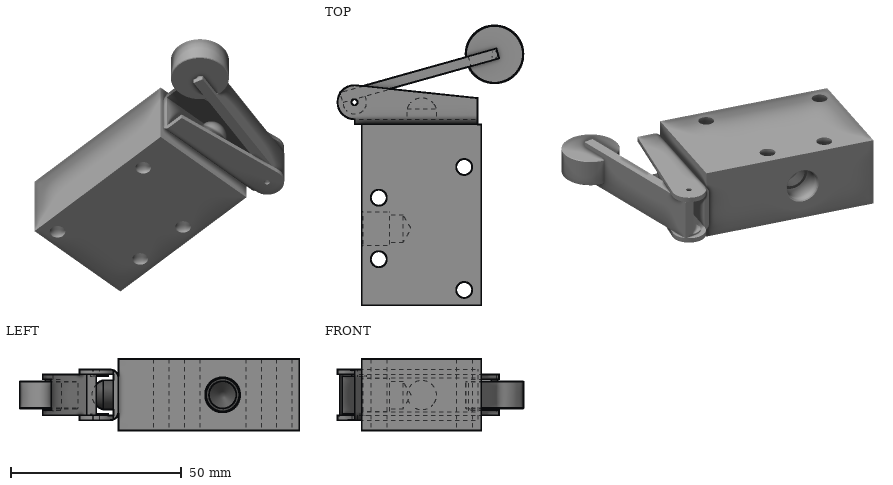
import cadquery as cq
import math

BLOCK_WIDTH = 35.0
BLOCK_LENGTH = 53.0
BLOCK_HEIGHT = 21.0

MOUNT_DIAMETER = 4.6
MOUNT_X_INSET = 5.0
MOUNT_Y_CENTRE = 22.5
LEFT_MOUNT_PITCH = 18.0
RIGHT_MOUNT_PITCH = 36.0

PORT_Y = MOUNT_Y_CENTRE
PORT_DIAMETER = 9.7
PORT_MOUTH_DIAMETER = 10.3
PORT_CHAMFER = (PORT_MOUTH_DIAMETER - PORT_DIAMETER) / 2
PORT_DEPTH = 8.0
DRILL_DIAMETER = 8.0
DRILL_DEPTH = 12.0
DRILL_TIP_ANGLE = 118.0

BRACKET_SHEET = 1.45
BRACKET_INNER_WIDTH = 12.0
BRACKET_OUTER_WIDTH = BRACKET_INNER_WIDTH + 2 * BRACKET_SHEET
BEND_RADIUS = 2.5
BRACKET_LENGTH = 36.0
BRACKET_END_HEIGHT = 7.7
EYE_RADIUS = 5.0
PIVOT_X = -2.1
PIVOT_Y = BLOCK_LENGTH + BRACKET_SHEET + EYE_RADIUS
PIVOT_HOLE_DIAMETER = 1.7

PLUNGER_DIAMETER = 8.6
PLUNGER_STRAIGHT_HEIGHT = 4.5
PLUNGER_DOME_HEIGHT = 3.3

LEVER_ANGLE = 15.65
LEVER_WIDTH = BRACKET_INNER_WIDTH
LEVER_THICKNESS = 3.0
LEVER_OFFSET = 0.95
LEVER_TAIL = 3.4
EAR_THICKNESS = 0.5
AXLE_RADIUS = 1.0
AXLE_TO_TIP = 1.0
AXLE_REACH = 43.23
FORK_GAP = 9.0
FORK_DEPTH = 8.6

ROLLER_DIAMETER = 17.0
ROLLER_WIDTH = 8.0
ROLLER_CHAMFER = 0.2


def cylinder_z(x, y, radius, height):
    """Upright cylinder centred on the mid plane."""
    return cq.Workplane("XY").center(x, y).circle(radius).extrude(height / 2, both=True)


def make_block():
    """Rectangular block with four mounting holes and the outlet port."""
    block = cq.Workplane("XY").box(
        BLOCK_WIDTH, BLOCK_LENGTH, BLOCK_HEIGHT, centered=(False, False, True)
    )
    for x, pitch in (
        (MOUNT_X_INSET, LEFT_MOUNT_PITCH),
        (BLOCK_WIDTH - MOUNT_X_INSET, RIGHT_MOUNT_PITCH),
    ):
        for side in (-1, 1):
            y = MOUNT_Y_CENTRE + side * pitch / 2
            block = block.cut(cylinder_z(x, y, MOUNT_DIAMETER / 2, BLOCK_HEIGHT))
    return block.cut(make_port())


def make_port():
    """Stepped port with a chamfered mouth and a conical drill tip, turned about the X direction."""
    drill_radius = DRILL_DIAMETER / 2
    tip_depth = DRILL_DEPTH + drill_radius / math.tan(math.radians(DRILL_TIP_ANGLE / 2))
    profile = (
        cq.Workplane("XY")
        .moveTo(0, PORT_Y)
        .lineTo(0, PORT_Y + PORT_MOUTH_DIAMETER / 2)
        .lineTo(PORT_CHAMFER, PORT_Y + PORT_DIAMETER / 2)
        .lineTo(PORT_DEPTH, PORT_Y + PORT_DIAMETER / 2)
        .lineTo(PORT_DEPTH, PORT_Y + drill_radius)
        .lineTo(DRILL_DEPTH, PORT_Y + drill_radius)
        .lineTo(tip_depth, PORT_Y)
        .close()
    )
    return profile.revolve(360, (0, PORT_Y, 0), (1, PORT_Y, 0))


def make_bracket():
    """U channel along X with rounded outer corners, trimmed to the outline of its cheeks."""
    cheek_height = PIVOT_Y + EYE_RADIUS - BLOCK_LENGTH
    channel_length = BRACKET_LENGTH + EYE_RADIUS
    channel_start = PIVOT_X - EYE_RADIUS
    outside = (
        cq.Workplane("XY")
        .box(channel_length, cheek_height, BRACKET_OUTER_WIDTH, centered=(False, False, True))
        .edges("|X and <Y")
        .fillet(BEND_RADIUS)
        .translate((channel_start, BLOCK_LENGTH, 0))
    )
    inside = (
        cq.Workplane("XY")
        .box(channel_length, cheek_height, BRACKET_INNER_WIDTH, centered=(False, False, True))
        .translate((channel_start, BLOCK_LENGTH + BRACKET_SHEET, 0))
    )
    channel = outside.cut(inside)

    end_x = PIVOT_X + BRACKET_LENGTH
    end_y = BLOCK_LENGTH + BRACKET_END_HEIGHT
    end_rise = end_y - PIVOT_Y
    end_distance = math.hypot(BRACKET_LENGTH, end_rise)
    tangent_angle = math.atan2(end_rise, BRACKET_LENGTH) + math.acos(EYE_RADIUS / end_distance)
    outline = (
        cq.Workplane("XY")
        .moveTo(PIVOT_X, BLOCK_LENGTH)
        .lineTo(end_x, BLOCK_LENGTH)
        .lineTo(end_x, end_y)
        .lineTo(
            PIVOT_X + EYE_RADIUS * math.cos(tangent_angle),
            PIVOT_Y + EYE_RADIUS * math.sin(tangent_angle),
        )
        .threePointArc((PIVOT_X - EYE_RADIUS, PIVOT_Y), (PIVOT_X, PIVOT_Y - EYE_RADIUS))
        .close()
        .extrude(BRACKET_OUTER_WIDTH / 2, both=True)
    )
    pivot_hole = cylinder_z(PIVOT_X, PIVOT_Y, PIVOT_HOLE_DIAMETER / 2, BRACKET_OUTER_WIDTH)
    return channel.intersect(outline).cut(pivot_hole)


def make_plunger():
    """Round plunger with a domed top, turned about the Y direction."""
    axis_x = BLOCK_WIDTH / 2
    radius = PLUNGER_DIAMETER / 2
    shoulder_y = BLOCK_LENGTH + PLUNGER_STRAIGHT_HEIGHT
    top_y = shoulder_y + PLUNGER_DOME_HEIGHT
    dome_radius = (radius**2 + PLUNGER_DOME_HEIGHT**2) / (2 * PLUNGER_DOME_HEIGHT)
    half_angle = math.asin(radius / dome_radius) / 2
    dome_mid = (
        axis_x + dome_radius * math.sin(half_angle),
        top_y - dome_radius * (1 - math.cos(half_angle)),
    )
    return (
        cq.Workplane("XY")
        .moveTo(axis_x, BLOCK_LENGTH)
        .lineTo(axis_x + radius, BLOCK_LENGTH)
        .lineTo(axis_x + radius, shoulder_y)
        .threePointArc(dome_mid, (axis_x, top_y))
        .close()
        .revolve(360, (axis_x, 0, 0), (axis_x, 1, 0))
    )


def make_ears():
    """Thin round-ended ears that join the lever to the pivot, one inside each cheek."""
    outline = (
        cq.Workplane("XY")
        .moveTo(-LEVER_TAIL, LEVER_OFFSET)
        .lineTo(-LEVER_TAIL, 0)
        .threePointArc((0, -LEVER_TAIL), (LEVER_TAIL, 0))
        .lineTo(LEVER_TAIL, LEVER_OFFSET)
        .close()
        .extrude(LEVER_WIDTH / 2, both=True)
    )
    gap = cq.Workplane("XY").box(
        2 * LEVER_TAIL, 2 * LEVER_TAIL, LEVER_WIDTH - 2 * EAR_THICKNESS
    ).translate((0, LEVER_OFFSET - LEVER_TAIL, 0))
    pivot_hole = cylinder_z(0, 0, PIVOT_HOLE_DIAMETER / 2, LEVER_WIDTH)
    return outline.cut(gap).cut(pivot_hole)


def make_lever():
    """Forked lever with its ears, axle and roller, tilted about the pivot."""
    tip = AXLE_REACH + AXLE_TO_TIP
    axle_height = LEVER_OFFSET + LEVER_THICKNESS / 2
    plate = (
        cq.Workplane("XY")
        .box(LEVER_TAIL + tip, LEVER_THICKNESS, LEVER_WIDTH, centered=(False, False, True))
        .translate((-LEVER_TAIL, LEVER_OFFSET, 0))
    )
    fork_slot = (
        cq.Workplane("XY")
        .box(FORK_DEPTH, LEVER_THICKNESS, FORK_GAP, centered=(False, False, True))
        .translate((tip - FORK_DEPTH, LEVER_OFFSET, 0))
    )
    axle = cylinder_z(AXLE_REACH, axle_height, AXLE_RADIUS, LEVER_WIDTH)
    roller = cylinder_z(AXLE_REACH, axle_height, ROLLER_DIAMETER / 2, ROLLER_WIDTH)
    roller = roller.faces("|Z").edges().chamfer(ROLLER_CHAMFER)
    lever = plate.cut(fork_slot).union(make_ears()).union(axle).union(roller)
    return lever.rotate((0, 0, 0), (0, 0, 1), LEVER_ANGLE).translate((PIVOT_X, PIVOT_Y, 0))


valve_body = make_block().union(make_bracket()).union(make_plunger())
roller_lever = make_lever()

result = cq.Compound.makeCompound([valve_body.val(), roller_lever.val()])